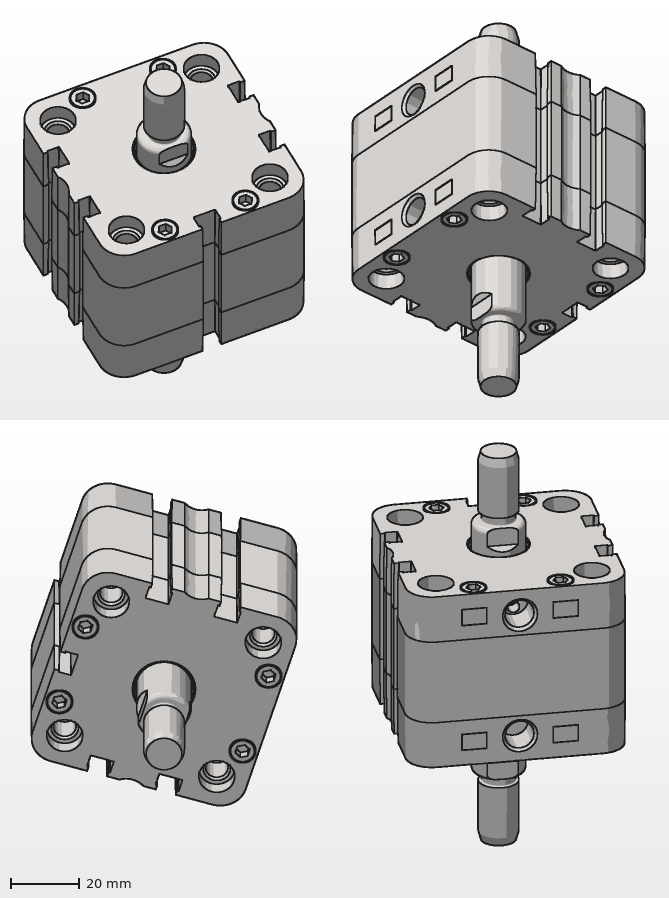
import cadquery as cq
import math

HOUSING_WIDTH = 65.5
HALF_WIDTH = HOUSING_WIDTH / 2
CORNER_RADIUS = 8.0
CAP_HEIGHT = 14.5
BARREL_HEIGHT = 26.0
HOUSING_HEIGHT = 2 * CAP_HEIGHT + BARREL_HEIGHT
CAP_DRAFT = 0.6

SLOT_OPENING = 5.8
SLOT_INNER_WIDTH = 6.8
SLOT_DEPTH = 5.2
SLOT_LIP = 1.8
SLOT_OFFSET = 10.5
GROOVE_HALF_WIDTH = 3.6
GROOVE_DEPTH = 1.1

MOUNT_PITCH = 46.5
MOUNT_BORE = 10.5
MOUNT_BORE_DEPTH = 5.0
MOUNT_THREAD = 6.6
MOUNT_CHAMFER_DIAMETER = 8.0

SCREW_PITCH_X = 56.0
SCREW_PITCH_Y = 26.0
SCREW_RECESS = 7.8
SCREW_HEAD_BASE = 7.5
SCREW_HEAD_TOP = 7.0
SCREW_RECESS_DEPTH = 0.4
HEX_ACROSS_FLATS = 3.8
HEX_DEPTH = 3.0

PORT_INSET = 8.0
PORT_BORE = 8.6
PORT_CHAMFER_DIAMETER = 10.5
PORT_DEPTH = 10.0
AIR_HOLE = 3.5
AIR_HOLE_INSET = 10.0
AIR_HOLE_LENGTH = 5.0

LABEL_OFFSET = 13.6
LABEL_LENGTH = 7.4
LABEL_HEIGHT = 5.1
LABEL_INSET = 7.4
LABEL_DEPTH = 0.2

ROD_LENGTH = 125.0
ROD_DIAMETER = 16.0
ROD_PROTRUSION = 30.0
ROD_CLEARANCE_HOLE = 16.5
ROD_RECESS = 18.0
ROD_RECESS_DEPTH = 0.8
ROD_HOLE_CHAMFER_DIAMETER = 17.5
ROD_RECESS_CHAMFER_DIAMETER = 18.5
THREAD_DIAMETER = 12.0
THREAD_LENGTH = 19.0
TIP_DIAMETER = 10.5
TIP_CHAMFER_LENGTH = 2.8
UNDERCUT_DIAMETER = 10.0
UNDERCUT_LENGTH = 3.0
UNDERCUT_FILLET = 0.4
SHOULDER_FILLET = 1.6
FLATS_WIDTH = 13.0
FLATS_LENGTH = 5.5


def housing_outline():
    """Outline of the housing: two T-slots and a groove on each Y face, one T-slot on the +X face."""
    opening = SLOT_OPENING / 2
    inner = SLOT_INNER_WIDTH / 2
    lip = HALF_WIDTH - SLOT_LIP
    floor = HALF_WIDTH - SLOT_DEPTH
    corner_start = HALF_WIDTH - CORNER_RADIUS
    corner_middle = corner_start + CORNER_RADIUS * math.sqrt(0.5)

    def slot_points(centre):
        return [
            (centre + opening, HALF_WIDTH),
            (centre + opening, lip),
            (centre + inner, lip),
            (centre + inner, floor),
            (centre - inner, floor),
            (centre - inner, lip),
            (centre - opening, lip),
            (centre - opening, HALF_WIDTH),
        ]

    half = cq.Workplane("XY").moveTo(floor, 0).lineTo(floor, inner).lineTo(lip, inner)
    half = half.lineTo(lip, opening).lineTo(HALF_WIDTH, opening).lineTo(HALF_WIDTH, corner_start)
    half = half.threePointArc((corner_middle, corner_middle), (corner_start, HALF_WIDTH))
    for point in slot_points(SLOT_OFFSET):
        half = half.lineTo(*point)
    half = half.lineTo(GROOVE_HALF_WIDTH, HALF_WIDTH)
    half = half.threePointArc((0, HALF_WIDTH - GROOVE_DEPTH), (-GROOVE_HALF_WIDTH, HALF_WIDTH))
    for point in slot_points(-SLOT_OFFSET):
        half = half.lineTo(*point)
    half = half.lineTo(-corner_start, HALF_WIDTH)
    half = half.threePointArc((-corner_middle, corner_middle), (-HALF_WIDTH, corner_start))
    half = half.lineTo(-HALF_WIDTH, 0)
    return half.mirrorX()


def countersink(large, small, z_top):
    """45 degree cone below z_top, narrowing from the large to the small diameter."""
    depth = (large - small) / 2
    profile = [(0, z_top), (large / 2, z_top), (small / 2, z_top - depth), (0, z_top - depth)]
    return cq.Workplane("XZ").polyline(profile).close().revolve(360, (0, 0, 0), (0, 1, 0))


def mount_hole_cutter():
    """Plain bore above a countersunk threaded hole that runs through the cap."""
    bore_floor = CAP_HEIGHT - MOUNT_BORE_DEPTH
    bore = cq.Workplane("XY").workplane(offset=bore_floor).circle(MOUNT_BORE / 2).extrude(MOUNT_BORE_DEPTH)
    thread = cq.Workplane("XY").circle(MOUNT_THREAD / 2).extrude(bore_floor)
    return bore.union(thread).union(countersink(MOUNT_CHAMFER_DIAMETER, MOUNT_THREAD, bore_floor))


def screw_head_cutter():
    """Ring around a flush chamfered screw head, and the hexagon socket in the head."""
    ring_floor = CAP_HEIGHT - SCREW_RECESS_DEPTH
    ring_profile = [
        (SCREW_HEAD_TOP / 2, CAP_HEIGHT),
        (SCREW_RECESS / 2, CAP_HEIGHT),
        (SCREW_RECESS / 2, ring_floor),
        (SCREW_HEAD_BASE / 2, ring_floor),
    ]
    ring = cq.Workplane("XZ").polyline(ring_profile).close().revolve(360, (0, 0, 0), (0, 1, 0))
    across_corners = HEX_ACROSS_FLATS / math.cos(math.radians(30))
    socket = cq.Workplane("XY").workplane(offset=CAP_HEIGHT - HEX_DEPTH)
    socket = socket.transformed(rotate=(0, 0, 30)).polygon(6, across_corners).extrude(HEX_DEPTH)
    return ring.union(socket)


def port_cutter():
    """Countersunk port in the -X face with a small air hole in its floor."""
    side = cq.Workplane("YZ").workplane(offset=-HALF_WIDTH)
    port_z = CAP_HEIGHT - PORT_INSET
    air_z = CAP_HEIGHT - AIR_HOLE_INSET
    port = side.center(0, port_z).circle(PORT_BORE / 2).extrude(PORT_DEPTH)
    air = side.center(0, air_z).circle(AIR_HOLE / 2).extrude(PORT_DEPTH + AIR_HOLE_LENGTH)
    sink = countersink(PORT_CHAMFER_DIAMETER, PORT_BORE, 0)
    sink = sink.rotate((0, 0, 0), (0, 1, 0), -90).translate((-HALF_WIDTH, 0, port_z))
    return port.union(air).union(sink)


def label_cutter():
    """Two shallow label fields beside the port."""
    fields = cq.Workplane("YZ").workplane(offset=-HALF_WIDTH)
    fields = fields.pushPoints([(side * LABEL_OFFSET, CAP_HEIGHT - LABEL_INSET) for side in (-1, 1)])
    return fields.rect(LABEL_LENGTH, LABEL_HEIGHT).extrude(LABEL_DEPTH)


def rod_hole_cutter():
    """Clearance hole for the rod with a shallow chamfered recess at the outer face."""
    hole = cq.Workplane("XY").circle(ROD_CLEARANCE_HOLE / 2).extrude(CAP_HEIGHT)
    recess = cq.Workplane("XY").workplane(offset=CAP_HEIGHT - ROD_RECESS_DEPTH)
    recess = recess.circle(ROD_RECESS / 2).extrude(ROD_RECESS_DEPTH)
    mouth = countersink(ROD_RECESS_CHAMFER_DIAMETER, ROD_RECESS, CAP_HEIGHT)
    inner_sink = countersink(ROD_HOLE_CHAMFER_DIAMETER, ROD_CLEARANCE_HOLE, CAP_HEIGHT - ROD_RECESS_DEPTH)
    return hole.union(recess).union(mouth).union(inner_sink)


def make_cap():
    """Cap with its barrel side at Z = 0 and its outer face at Z = CAP_HEIGHT."""
    cap = housing_outline().extrude(CAP_HEIGHT, taper=CAP_DRAFT)
    cap = cap.cut(rod_hole_cutter())
    for x_side in (-1, 1):
        for y_side in (-1, 1):
            mount_place = (x_side * MOUNT_PITCH / 2, y_side * MOUNT_PITCH / 2, 0)
            screw_place = (x_side * SCREW_PITCH_X / 2, y_side * SCREW_PITCH_Y / 2, 0)
            cap = cap.cut(mount_hole_cutter().translate(mount_place))
            cap = cap.cut(screw_head_cutter().translate(screw_place))
    return cap.cut(port_cutter()).cut(label_cutter())


def make_barrel():
    """Middle section of the housing, bored to fit the rod."""
    barrel = housing_outline().extrude(BARREL_HEIGHT)
    bore = cq.Workplane("XY").circle(ROD_DIAMETER / 2).extrude(BARREL_HEIGHT)
    return barrel.cut(bore).translate((0, 0, CAP_HEIGHT))


def flats_cutter(shoulder):
    """Material beside the two wrench flats, ending in a 45 degree slope below them."""
    flat = FLATS_WIDTH / 2
    outside = ROD_DIAMETER
    flat_end = shoulder - FLATS_LENGTH
    profile = [
        (flat, shoulder),
        (flat, flat_end),
        (outside, flat_end - (outside - flat)),
        (outside, shoulder),
    ]
    one_side = cq.Workplane("XZ").polyline(profile).close().extrude(ROD_DIAMETER, both=True)
    return one_side.union(one_side.mirror("YZ"))


def make_rod():
    """Through rod with a threaded end, a shoulder and wrench flats at both ends."""
    tip = ROD_LENGTH / 2
    thread_end = tip - THREAD_LENGTH
    shoulder = thread_end - UNDERCUT_LENGTH
    half = cq.Workplane("XY").circle(ROD_DIAMETER / 2).extrude(shoulder)
    half = half.faces(">Z").edges().fillet(SHOULDER_FILLET).cut(flats_cutter(shoulder))

    neck = UNDERCUT_DIAMETER / 2
    fillet = UNDERCUT_FILLET
    fillet_middle = fillet * (1 - math.sqrt(0.5))
    end = cq.Workplane("XZ").moveTo(0, shoulder).lineTo(neck + fillet, shoulder)
    end = end.threePointArc((neck + fillet_middle, shoulder + fillet_middle), (neck, shoulder + fillet))
    end = end.lineTo(neck, thread_end - fillet)
    end = end.threePointArc((neck + fillet_middle, thread_end - fillet_middle), (neck + fillet, thread_end))
    end = end.lineTo(THREAD_DIAMETER / 2, thread_end)
    end = end.lineTo(THREAD_DIAMETER / 2, tip - TIP_CHAMFER_LENGTH)
    end = end.lineTo(TIP_DIAMETER / 2, tip).lineTo(0, tip).close()
    end = end.revolve(360, (0, 0, 0), (0, 1, 0))
    half = half.union(end)
    rod = half.union(half.mirror("XY"))
    return rod.translate((0, 0, HOUSING_HEIGHT + ROD_PROTRUSION - tip))


upper_cap, lower_cap = make_cap(), make_cap()
upper_cap = upper_cap.translate((0, 0, HOUSING_HEIGHT - CAP_HEIGHT))
lower_cap = lower_cap.rotate((0, 0, 0), (1, 0, 0), 180).translate((0, 0, CAP_HEIGHT))
barrel = make_barrel()
rod = make_rod()

result = cq.Compound.makeCompound([upper_cap.val(), barrel.val(), lower_cap.val(), rod.val()])